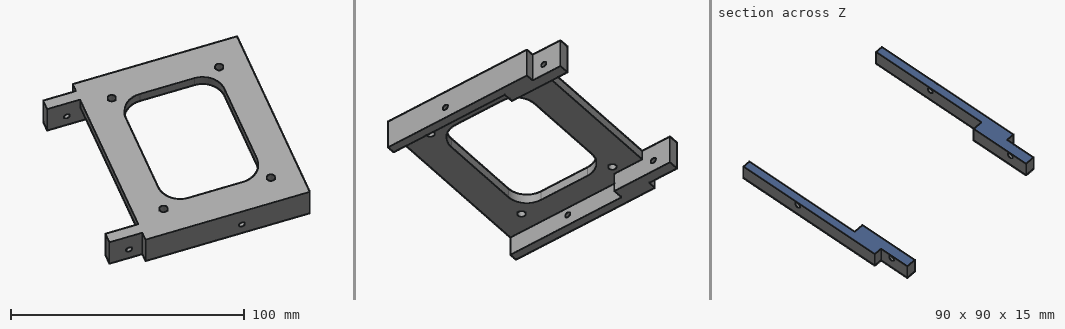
import cadquery as cq

frame_width = 90.0
frame_depth = 75.0
plate_thickness = 5.0
overall_height = 15.0

rail_width = 4.0
arm_width = 5.0
arm_reach = 15.0
arm_root = 15.0

window_margin = 15.0
window_width = frame_width - 2 * window_margin
window_depth = frame_depth - 2 * window_margin
window_radius = 10.0

plate_hole_diameter = 3.6
plate_hole_spacing_x = 64.0
plate_hole_spacing_y = 49.0

side_hole_diameter = 2.7
side_hole_height = 6.0
rail_hole_from_back = 31.0
arm_hole_from_tip = 9.0

frame_front = arm_reach
frame_back = frame_front + frame_depth
frame_centre_y = frame_front + frame_depth / 2
plate_bottom = overall_height - plate_thickness


def corner_box(x, y, z, width, depth, height):
    """Box whose lowest X, Y, Z corner lies at (x, y, z)."""
    return cq.Workplane("XY").box(width, depth, height, centered=False).translate((x, y, z))


def make_plate():
    return corner_box(-frame_width / 2, frame_front, plate_bottom, frame_width, frame_depth, plate_thickness)


def make_left_side():
    """Rail along the left edge and the arm fixed to its inner face."""
    left = -frame_width / 2
    rail = corner_box(left, frame_front, 0, rail_width, frame_depth, overall_height)
    arm = corner_box(left + rail_width, 0, 0, arm_width, arm_reach + arm_root, overall_height)
    return rail.union(arm)


def make_window():
    window = cq.Workplane("XY").box(window_width, window_depth, overall_height, centered=(True, True, False))
    return window.edges("|Z").fillet(window_radius).translate((0, frame_centre_y, 0))


def make_plate_holes():
    return (
        cq.Workplane("XY")
        .center(0, frame_centre_y)
        .rarray(plate_hole_spacing_x, plate_hole_spacing_y, 2, 2)
        .circle(plate_hole_diameter / 2)
        .extrude(overall_height)
    )


def make_side_holes():
    return (
        cq.Workplane("YZ", origin=(-frame_width / 2, 0, 0))
        .pushPoints([
            (arm_hole_from_tip, side_hole_height),
            (frame_back - rail_hole_from_back, side_hole_height),
        ])
        .circle(side_hole_diameter / 2)
        .extrude(frame_width)
    )


left_side = make_left_side()
body = make_plate().union(left_side).union(left_side.mirror("YZ"))
result = body.cut(make_window()).cut(make_plate_holes()).cut(make_side_holes()).clean()